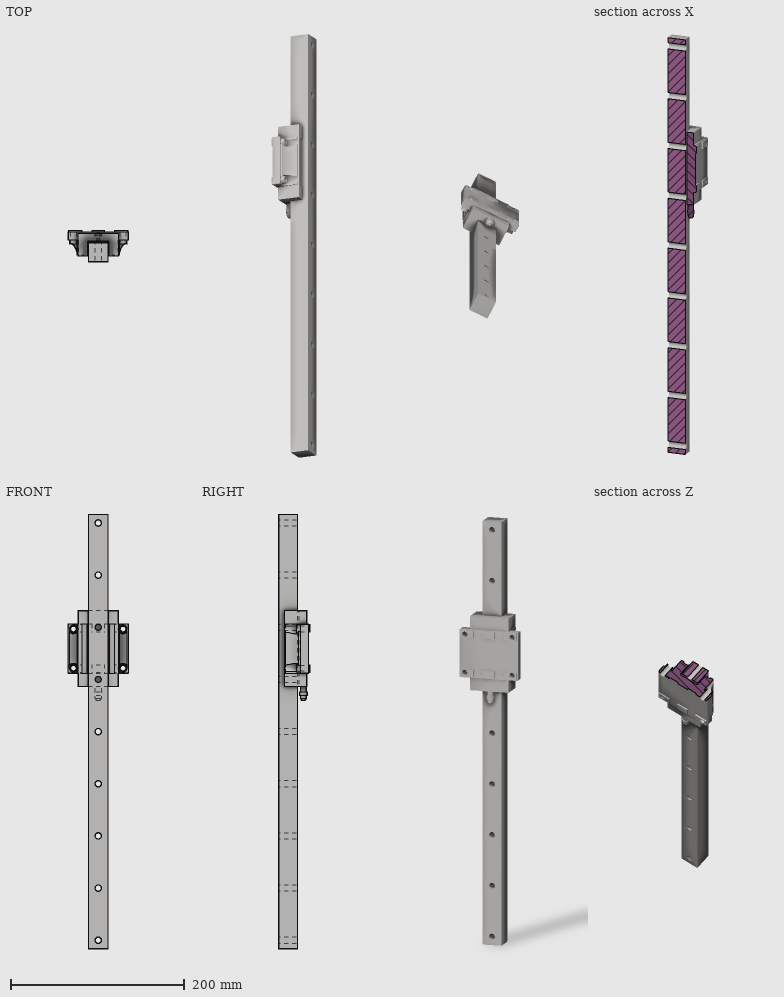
import cadquery as cq


RAIL_LENGTH = 500.0
RAIL_WIDTH = 23.0
RAIL_HEIGHT = 22.0
RAIL_HOLE_DIAMETER = 7.0
RAIL_HOLE_COUNT = 9
RAIL_HOLE_PITCH = 60.0

BLOCK_LENGTH = 87.5
BLOCK_WIDTH = 46.5
BLOCK_BASE_Y = 6.5
BLOCK_TOP_Y = 32.5
BLOCK_CENTER_Z = 345.5
CHANNEL_WIDTH = 24.0
CHANNEL_TOP_Y = 23.5

FOOT_SLOT_INNER_WIDTH = 26.0
FOOT_SLOT_OUTER_WIDTH = 37.5
FOOT_SLOT_DEPTH = 1.5

WING_LENGTH = 57.0
WING_WIDTH = 70.0
WING_BASE_Y = 25.0
WING_TOP_Y = 34.5
WING_CORNER_CHAMFER = 0.5

WEB_TOP_WIDTH = 66.5
WEB_TOP_Y = 23.0
WEB_ROOT_WIDTH = 49.0
WEB_ROOT_Y = 8.0
WEB_ARC_RADIUS = 17.5

PAD_TOP_Y = 36.0
PAD_LENGTH = 8.5
PAD_INSET = 1.0
CENTER_PAD_WIDTH = 14.5
SIDE_PAD_INNER_WIDTH = 37.0

MOUNT_PITCH_X = 57.0
MOUNT_PITCH_Z = 45.0
MOUNT_HOLE_DIAMETER = 6.5
MOUNT_BOSS_DIAMETER = 9.0
MOUNT_BOSS_HEIGHT = 4.5
MOUNT_CLEARANCE_DIAMETER = 11.0

NIPPLE_CENTER_Y = 28.5
NIPPLE_BODY_RADIUS = 3.5
NIPPLE_COLLAR_RADIUS = 4.5
NIPPLE_TIP_RADIUS = 2.0
NIPPLE_COLLAR_START = 6.0
NIPPLE_COLLAR_END = 10.0
NIPPLE_TAPER_START = 13.5
NIPPLE_LENGTH = 16.0


def y_cylinder(x, z, diameter, y_start, y_end):
    """Cylinder along Y between two Y levels."""
    return cq.Workplane(
        cq.Solid.makeCylinder(diameter / 2, y_end - y_start, cq.Vector(x, y_start, z), cq.Vector(0, 1, 0))
    )


def y_box(width, length, y_start, y_end, x=0.0, z=BLOCK_CENTER_Z):
    """Box centred at (x, z) that spans two Y levels."""
    height = y_end - y_start
    return cq.Workplane("XY").box(width, height, length).translate((x, y_start + height / 2, z))


def make_rail():
    rail = y_box(RAIL_WIDTH, RAIL_LENGTH, 0, RAIL_HEIGHT, z=RAIL_LENGTH / 2)
    first_hole_z = (RAIL_LENGTH - (RAIL_HOLE_COUNT - 1) * RAIL_HOLE_PITCH) / 2
    for index in range(RAIL_HOLE_COUNT):
        hole_z = first_hole_z + index * RAIL_HOLE_PITCH
        rail = rail.cut(y_cylinder(0, hole_z, RAIL_HOLE_DIAMETER, 0, RAIL_HEIGHT))
    return rail


def mount_positions():
    """X and Z of the four mounting holes."""
    return [
        (side * MOUNT_PITCH_X / 2, BLOCK_CENTER_Z + end * MOUNT_PITCH_Z / 2)
        for side in (-1, 1)
        for end in (-1, 1)
    ]


def make_web():
    """Prism under the wings, from one row of mounting holes to the other."""
    half_top = WEB_TOP_WIDTH / 2
    half_root = WEB_ROOT_WIDTH / 2
    return (
        cq.Workplane("XY", origin=(0, 0, BLOCK_CENTER_Z - MOUNT_PITCH_Z / 2))
        .moveTo(half_top, WING_BASE_Y)
        .lineTo(half_top, WEB_TOP_Y)
        .radiusArc((half_root, WEB_ROOT_Y), -WEB_ARC_RADIUS)
        .lineTo(-half_root, WEB_ROOT_Y)
        .radiusArc((-half_top, WEB_TOP_Y), -WEB_ARC_RADIUS)
        .lineTo(-half_top, WING_BASE_Y)
        .close()
        .extrude(MOUNT_PITCH_Z)
    )


def make_pads():
    """Three pads at each end of the +Y face."""
    side_pad_width = (WING_WIDTH - SIDE_PAD_INNER_WIDTH) / 2 - PAD_INSET
    side_pad_x = (SIDE_PAD_INNER_WIDTH + side_pad_width) / 2
    pad_offset_z = (WING_LENGTH - PAD_LENGTH) / 2 - PAD_INSET
    pads = []
    for z in (BLOCK_CENTER_Z - pad_offset_z, BLOCK_CENTER_Z + pad_offset_z):
        pads.append(y_box(CENTER_PAD_WIDTH, PAD_LENGTH, WING_TOP_Y, PAD_TOP_Y, z=z))
        for x in (-side_pad_x, side_pad_x):
            pads.append(y_box(side_pad_width, PAD_LENGTH, WING_TOP_Y, PAD_TOP_Y, x=x, z=z))
    return pads


def cut_foot_slots(carriage):
    slot_width = (FOOT_SLOT_OUTER_WIDTH - FOOT_SLOT_INNER_WIDTH) / 2
    slot_x = (FOOT_SLOT_OUTER_WIDTH + FOOT_SLOT_INNER_WIDTH) / 4
    slot_end_y = BLOCK_BASE_Y + FOOT_SLOT_DEPTH
    for x in (-slot_x, slot_x):
        carriage = carriage.cut(y_box(slot_width, WING_LENGTH, BLOCK_BASE_Y, slot_end_y, x=x))
    return carriage


def make_carriage():
    block = y_box(BLOCK_WIDTH, BLOCK_LENGTH, BLOCK_BASE_Y, BLOCK_TOP_Y)
    plate = y_box(WING_WIDTH, WING_LENGTH, WING_BASE_Y, WING_TOP_Y).edges("|Y").chamfer(WING_CORNER_CHAMFER)
    root = y_box(WEB_ROOT_WIDTH, WING_LENGTH, WEB_ROOT_Y, WING_BASE_Y)
    carriage = block.union(plate).union(root).union(make_web())
    for x, z in mount_positions():
        carriage = carriage.cut(y_cylinder(x, z, MOUNT_CLEARANCE_DIAMETER, BLOCK_BASE_Y, WING_BASE_Y))
    for pad in make_pads():
        carriage = carriage.union(pad)
    boss_base_y = WING_BASE_Y - MOUNT_BOSS_HEIGHT
    for x, z in mount_positions():
        carriage = carriage.union(y_cylinder(x, z, MOUNT_BOSS_DIAMETER, boss_base_y, WING_BASE_Y))
        carriage = carriage.cut(y_cylinder(x, z, MOUNT_HOLE_DIAMETER, boss_base_y, PAD_TOP_Y))
    carriage = carriage.cut(y_box(CHANNEL_WIDTH, BLOCK_LENGTH, BLOCK_BASE_Y, CHANNEL_TOP_Y))
    return cut_foot_slots(carriage)


def make_nipple():
    """Turned nipple with a collar and a tapered tip, pointing along -Z."""
    profile = [
        (0, 0),
        (NIPPLE_BODY_RADIUS, 0),
        (NIPPLE_BODY_RADIUS, -NIPPLE_COLLAR_START),
        (NIPPLE_COLLAR_RADIUS, -NIPPLE_COLLAR_START),
        (NIPPLE_COLLAR_RADIUS, -NIPPLE_COLLAR_END),
        (NIPPLE_BODY_RADIUS, -NIPPLE_COLLAR_END),
        (NIPPLE_BODY_RADIUS, -NIPPLE_TAPER_START),
        (NIPPLE_TIP_RADIUS, -NIPPLE_LENGTH),
        (0, -NIPPLE_LENGTH),
    ]
    nipple = cq.Workplane("XZ").polyline(profile).close().revolve(360, (0, 0, 0), (0, 1, 0))
    return nipple.translate((0, NIPPLE_CENTER_Y, BLOCK_CENTER_Z - BLOCK_LENGTH / 2))


rail = make_rail()
carriage = make_carriage()
nipple = make_nipple()

result = cq.Compound.makeCompound([rail.val(), carriage.val(), nipple.val()])